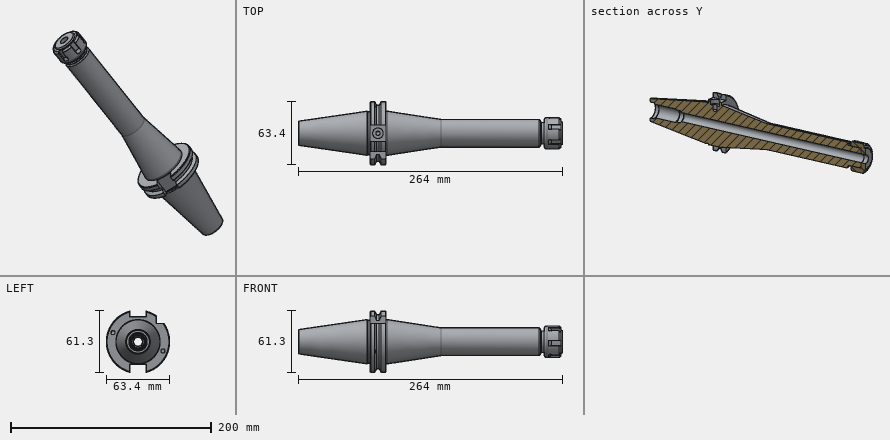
import cadquery as cq
import math

TOTAL_LENGTH = 264.0

GAUGE_X = 68.3
GAUGE_RADIUS = 22.2
SHANK_TAPER = 7 / 24 / 2
SHANK_END_RADIUS = GAUGE_RADIUS - GAUGE_X * SHANK_TAPER
SHANK_CHAMFER = 0.8

UNDERCUT_X = 69.7
UNDERCUT_RADIUS = 21.6

FLANGE_X = 71.5
FLANGE_END_X = 87.5
FLANGE_RADIUS = 31.7
FLANGE_CHAMFER = 0.8

GROOVE_X = 79.5
GROOVE_FLOOR_RADIUS = 28.2
GROOVE_FLOOR_HALF_WIDTH = 1.3
GROOVE_WALL_ANGLE = 30
GROOVE_HALF_WIDTH = GROOVE_FLOOR_HALF_WIDTH + (FLANGE_RADIUS - GROOVE_FLOOR_RADIUS) * math.tan(
    math.radians(GROOVE_WALL_ANGLE)
)

DRIVE_SLOT_WIDTH = 16.0
TOP_SLOT_FLOOR = 25.0
BOTTOM_SLOT_FLOOR = 22.7
NOTCH_CORNER = 18.5

POCKET_RADIUS = 5.3
POCKET_DEPTH = 4.5
PILOT_RADIUS = 2.0
PILOT_DEPTH = 5.3

COOLANT_RADIUS = 2.0
COOLANT_DEPTH = 5.3
COOLANT_CIRCLE_RADIUS = 26.7
COOLANT_ANGLE = 20
DRILL_TIP_ANGLE = 118

BODY_COLLAR_END_X = 89.2
BODY_CONE_END_X = 142.5
BODY_RADIUS = 14.0
BODY_END_X = 241.7
BODY_CHAMFER = 1.3

STUD_RADIUS = 10.8
STUD_ROOT_CHAMFER = 1.0
STUD_END_X = 258.5

MOUTH_RADIUS = 9.2
MOUTH_CHAMFER = 1.0
COUNTERBORE_RADIUS = MOUTH_RADIUS - MOUTH_CHAMFER
COUNTERBORE_DEPTH = 5.3
THREAD_RADIUS = 6.9
THREAD_CHAMFER = 1.0
THREAD_DEPTH = 31.7
CLEARANCE_RADIUS = 6.0
CLEARANCE_DEPTH = 37.0
BORE_RADIUS = 4.5

NUT_X = 245.5
NUT_RADIUS = 15.8
NUT_REAR_FILLET = 2.6
NUT_SHOULDER_X = 260.2
NUT_RIM_X = 262.3
NUT_RIM_RADIUS = 14.2
NUT_NOSE_RADIUS = 12.0
NUT_FACE_RADIUS = 11.0

WRENCH_SLOT_COUNT = 6
WRENCH_SLOT_ANGLE = -5.5
WRENCH_SLOT_WIDTH = 5.3
WRENCH_SLOT_FLOOR = 13.7
WRENCH_SLOT_X = 249.5
WRENCH_RAMP_END_X = 252.8


def revolve_about_x(outline):
    return outline.close().revolve(360, (0, 0, 0), (1, 0, 0))


def drill(radius, depth):
    """Blind hole along +X from the origin, with a conical tip."""
    tip = radius / math.tan(math.radians(DRILL_TIP_ANGLE / 2))
    outline = cq.Workplane("XZ").lineTo(0, radius).lineTo(depth, radius).lineTo(depth + tip, 0)
    return revolve_about_x(outline)


def make_turned_body():
    return revolve_about_x(
        cq.Workplane("XZ")
        .lineTo(0, SHANK_END_RADIUS - SHANK_CHAMFER)
        .lineTo(SHANK_CHAMFER, SHANK_END_RADIUS + SHANK_CHAMFER * SHANK_TAPER)
        .lineTo(GAUGE_X, GAUGE_RADIUS)
        .lineTo(UNDERCUT_X, UNDERCUT_RADIUS)
        .lineTo(FLANGE_X, UNDERCUT_RADIUS)
        .lineTo(FLANGE_X, FLANGE_RADIUS - FLANGE_CHAMFER)
        .lineTo(FLANGE_X + FLANGE_CHAMFER, FLANGE_RADIUS)
        .lineTo(GROOVE_X - GROOVE_HALF_WIDTH, FLANGE_RADIUS)
        .lineTo(GROOVE_X - GROOVE_FLOOR_HALF_WIDTH, GROOVE_FLOOR_RADIUS)
        .lineTo(GROOVE_X + GROOVE_FLOOR_HALF_WIDTH, GROOVE_FLOOR_RADIUS)
        .lineTo(GROOVE_X + GROOVE_HALF_WIDTH, FLANGE_RADIUS)
        .lineTo(FLANGE_END_X - FLANGE_CHAMFER, FLANGE_RADIUS)
        .lineTo(FLANGE_END_X, FLANGE_RADIUS - FLANGE_CHAMFER)
        .lineTo(FLANGE_END_X, GAUGE_RADIUS)
        .lineTo(BODY_COLLAR_END_X, GAUGE_RADIUS)
        .lineTo(BODY_CONE_END_X, BODY_RADIUS)
        .lineTo(BODY_END_X - BODY_CHAMFER, BODY_RADIUS)
        .lineTo(BODY_END_X, BODY_RADIUS - BODY_CHAMFER)
        .lineTo(BODY_END_X, STUD_RADIUS + STUD_ROOT_CHAMFER)
        .lineTo(BODY_END_X + STUD_ROOT_CHAMFER, STUD_RADIUS)
        .lineTo(STUD_END_X, STUD_RADIUS)
        .lineTo(STUD_END_X, 0)
    )


def make_bore():
    clearance_tip = CLEARANCE_RADIUS - BORE_RADIUS
    return revolve_about_x(
        cq.Workplane("XZ")
        .lineTo(0, MOUTH_RADIUS)
        .lineTo(MOUTH_CHAMFER, COUNTERBORE_RADIUS)
        .lineTo(COUNTERBORE_DEPTH, COUNTERBORE_RADIUS)
        .lineTo(COUNTERBORE_DEPTH, THREAD_RADIUS + THREAD_CHAMFER)
        .lineTo(COUNTERBORE_DEPTH + THREAD_CHAMFER, THREAD_RADIUS)
        .lineTo(THREAD_DEPTH, THREAD_RADIUS)
        .lineTo(THREAD_DEPTH, CLEARANCE_RADIUS)
        .lineTo(CLEARANCE_DEPTH, CLEARANCE_RADIUS)
        .lineTo(CLEARANCE_DEPTH + clearance_tip, BORE_RADIUS)
        .lineTo(STUD_END_X, BORE_RADIUS)
        .lineTo(STUD_END_X, 0)
    )


def flange_cut(y_min, y_max, z_min, z_max):
    """Box across the full width of the flange."""
    size = (FLANGE_END_X - FLANGE_X, y_max - y_min, z_max - z_min)
    return cq.Workplane("XY").box(*size, centered=False).translate((FLANGE_X, y_min, z_min))


def make_rim_cuts():
    half_slot = DRIVE_SLOT_WIDTH / 2
    top_slot = flange_cut(-half_slot, half_slot, TOP_SLOT_FLOOR, FLANGE_RADIUS)
    bottom_slot = flange_cut(-half_slot, half_slot, -FLANGE_RADIUS, -BOTTOM_SLOT_FLOOR)
    notch = flange_cut(-FLANGE_RADIUS, -NOTCH_CORNER, NOTCH_CORNER, FLANGE_RADIUS)
    return top_slot.union(bottom_slot).union(notch)


def make_slot_pocket():
    pocket_floor = TOP_SLOT_FLOOR - POCKET_DEPTH
    pocket = cq.Workplane("XY").circle(POCKET_RADIUS).extrude(POCKET_DEPTH)
    pilot = drill(PILOT_RADIUS, PILOT_DEPTH).rotate((0, 0, 0), (0, 1, 0), 90)
    return pocket.union(pilot).translate((GROOVE_X, 0, pocket_floor))


def make_coolant_holes():
    hole = drill(COOLANT_RADIUS, COOLANT_DEPTH).translate((FLANGE_X, COOLANT_CIRCLE_RADIUS, 0))
    holes = cq.Workplane("XY")
    for turn in (0, 180):
        holes = holes.add(hole.rotate((0, 0, 0), (1, 0, 0), COOLANT_ANGLE + turn))
    return holes.combine()


def make_holder():
    holder = make_turned_body().cut(make_bore())
    return holder.cut(make_rim_cuts()).cut(make_slot_pocket()).cut(make_coolant_holes())


def make_wrench_slot():
    """One slot on the -Y side, ramping up to the nut surface at its closed end."""
    return (
        cq.Workplane("XY")
        .moveTo(WRENCH_SLOT_X, -NUT_RADIUS)
        .lineTo(WRENCH_RAMP_END_X, -WRENCH_SLOT_FLOOR)
        .lineTo(TOTAL_LENGTH, -WRENCH_SLOT_FLOOR)
        .lineTo(TOTAL_LENGTH, -NUT_RADIUS)
        .close()
        .extrude(WRENCH_SLOT_WIDTH / 2, both=True)
    )


def make_nut():
    arc_drop = NUT_REAR_FILLET * (1 - math.sqrt(0.5))
    nut = revolve_about_x(
        cq.Workplane("XZ")
        .moveTo(NUT_X, STUD_RADIUS)
        .lineTo(NUT_X, NUT_RADIUS - NUT_REAR_FILLET)
        .threePointArc(
            (NUT_X + arc_drop, NUT_RADIUS - arc_drop),
            (NUT_X + NUT_REAR_FILLET, NUT_RADIUS),
        )
        .lineTo(NUT_SHOULDER_X, NUT_RADIUS)
        .lineTo(NUT_RIM_X, NUT_RIM_RADIUS)
        .lineTo(NUT_RIM_X, NUT_NOSE_RADIUS)
        .lineTo(TOTAL_LENGTH, NUT_FACE_RADIUS)
        .lineTo(TOTAL_LENGTH, BORE_RADIUS)
        .lineTo(STUD_END_X, BORE_RADIUS)
        .lineTo(STUD_END_X, STUD_RADIUS)
    )
    pitch = 360 / WRENCH_SLOT_COUNT
    for index in range(WRENCH_SLOT_COUNT):
        turn = -(WRENCH_SLOT_ANGLE + index * pitch)
        nut = nut.cut(make_wrench_slot().rotate((0, 0, 0), (1, 0, 0), turn))
    return nut


holder = make_holder()
nut = make_nut()
result = cq.Compound.makeCompound([holder.val(), nut.val()])